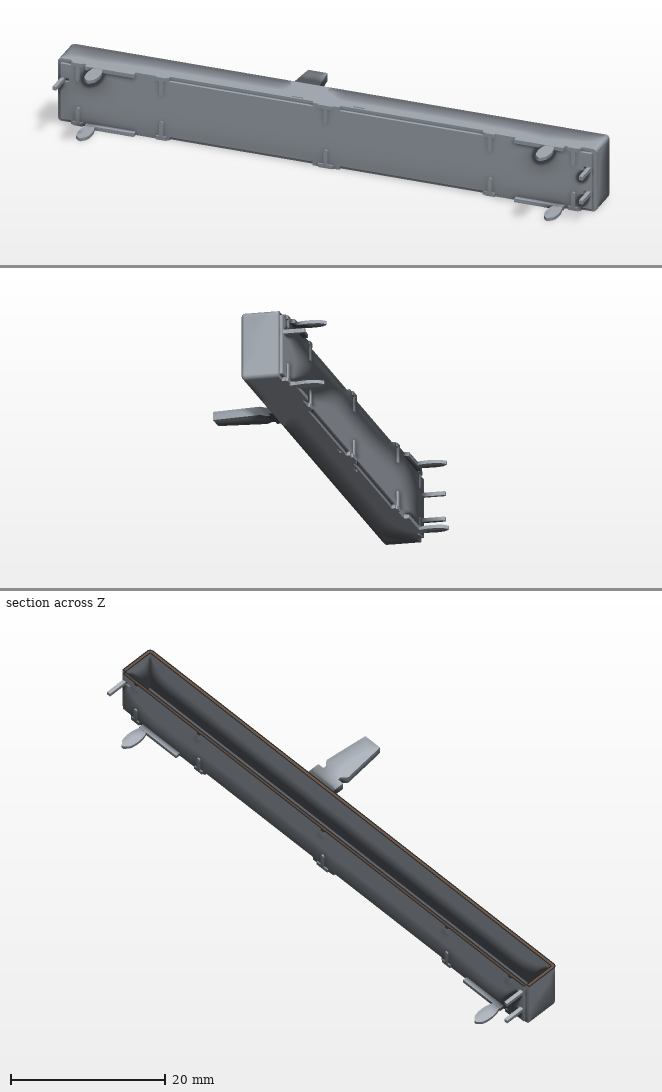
import cadquery as cq


length = 75.0
height = 9.0
sheet = 0.5
bend_radius = 0.5
end_wall_depth = 5.0
inner_length = length - 2 * sheet
inner_height = height - 2 * sheet

plate_front_depth = 5.5
tab_depth = 5.7
pad_depth = 6.15
rim_inner_end = 21.8
rim_outer_end = 35.5
rim_center_half = 1.9
pad_inner_end = 26.5
pad_outer_end = 33.3

side_tab_width = 1.4
center_tab_width = 2.0
side_crimps = (22.9, 34.5)
finger_width = 0.5
finger_tip_z = 1.9

window_x = 4.3
window_width = 1.6
window_height = 0.2
window_depth = 4.65

lug_tip_depth = 9.9
lug_root_width = 1.2
lug_width = 1.9
lug_shoulder_width = 1.4
lug_thickness = 0.45
lug_tip_width = 0.3
lug_widest_depth = 7.95
lug_shoulder_depth = 9.3
upper_lug_x = 31.4
lower_lug_x = 32.55

pin_width = 0.5
pin_height = 0.5
pin_tip_depth = 8.4
pin_z = 1.7
slot_length = 1.1
slot_edge_gap = 0.1
slot_outer_end = inner_length / 2 - slot_edge_gap
pin_places = ((-1, pin_z), (1, pin_z), (1, -pin_z))

lever_x = -7.6
lever_thickness = 1.1
lever_base_width = 4.6
lever_neck_width = 2.7
lever_barb_width = 4.05
lever_tip_width = 2.7
lever_shoulder_y = 3.4
lever_neck_y = 3.8
lever_barb_y = 4.6
lever_tip_y = 11.0


def block(x_min, x_max, depth_min, depth_max, z_min, z_max):
    """Box given by its limits, with depth counted toward -Y."""
    size = (x_max - x_min, depth_max - depth_min, z_max - z_min)
    return cq.Workplane("XY").box(*size, centered=False).translate((x_min, -depth_max, z_min))


def end_span(end, inner, outer):
    """X limits of a span at the right (end = 1) or left (end = -1), lower limit first."""
    return sorted((end * inner, end * outer))


def wall_strip(side, x_min, x_max, depth_min, depth_max):
    """Piece of the top (side = 1) or bottom (side = -1) wall."""
    outer, inner = side * height / 2, side * inner_height / 2
    return block(x_min, x_max, depth_min, depth_max, min(outer, inner), max(outer, inner))


def make_shell():
    """Five-sided box with rounded folds and a sharp-cornered cavity."""
    shell = block(-length / 2, length / 2, 0, end_wall_depth, -height / 2, height / 2)
    shell = shell.edges("|Y or >Y").fillet(bend_radius)
    cavity = block(-inner_length / 2, inner_length / 2, sheet, end_wall_depth,
                   -inner_height / 2, inner_height / 2)
    return shell.cut(cavity)


def make_crimp(side, x, tab_width):
    """Tab on the wall rim plus the round-tipped finger lying on the cover plate."""
    tab = wall_strip(side, x - tab_width / 2, x + tab_width / 2, end_wall_depth, tab_depth)
    half = finger_width / 2
    tip_z = side * finger_tip_z
    finger = (
        cq.Workplane("XZ", origin=(0, -plate_front_depth, 0))
        .moveTo(x - half, side * height / 2)
        .lineTo(x - half, tip_z + side * half)
        .threePointArc((x, tip_z), (x + half, tip_z + side * half))
        .lineTo(x + half, side * height / 2)
        .close()
        .extrude(tab_depth - plate_front_depth)
    )
    return tab.union(finger)


def make_lug(side, x):
    """Leaf-shaped lug, slightly thinner than the wall and centered in it."""
    middle_z = side * (height - sheet) / 2
    root, widest = lug_root_width / 2, lug_width / 2
    shoulder, tip = lug_shoulder_width / 2, lug_tip_width / 2
    return (
        cq.Workplane("XY", origin=(x, 0, middle_z - lug_thickness / 2))
        .moveTo(root, -pad_depth)
        .threePointArc((widest, -lug_widest_depth), (shoulder, -lug_shoulder_depth))
        .lineTo(tip, -lug_tip_depth)
        .lineTo(-tip, -lug_tip_depth)
        .lineTo(-shoulder, -lug_shoulder_depth)
        .threePointArc((-widest, -lug_widest_depth), (-root, -pad_depth))
        .close()
        .extrude(lug_thickness)
    )


def make_housing():
    """Shell with its rim, crimps, lugs and windows, and an opening for the lever."""
    housing = make_shell()
    for side, lug_x in ((1, upper_lug_x), (-1, lower_lug_x)):
        housing = housing.union(
            wall_strip(side, -rim_center_half, rim_center_half, end_wall_depth, plate_front_depth))
        housing = housing.union(make_crimp(side, 0, center_tab_width))
        for end in (-1, 1):
            rim = end_span(end, rim_inner_end, rim_outer_end)
            housing = housing.union(wall_strip(side, *rim, end_wall_depth, plate_front_depth))
            pad = end_span(end, pad_inner_end, pad_outer_end)
            housing = housing.union(wall_strip(side, *pad, end_wall_depth, pad_depth))
            housing = housing.union(make_lug(side, end * lug_x))
            for crimp_x in side_crimps:
                housing = housing.union(make_crimp(side, end * crimp_x, side_tab_width))
            window = end_span(end, window_x - window_width / 2, window_x + window_width / 2)
            housing = housing.cut(
                wall_strip(side, *window, window_depth - window_height / 2,
                           window_depth + window_height / 2))
    return housing.cut(make_lever())


def make_plate():
    """Cover plate between the walls, slotted near its ends for the terminals."""
    plate = block(-inner_length / 2, inner_length / 2, end_wall_depth, plate_front_depth,
                  -inner_height / 2, inner_height / 2)
    for end, z in pin_places:
        slot = end_span(end, slot_outer_end - slot_length, slot_outer_end)
        plate = plate.cut(block(*slot, end_wall_depth, plate_front_depth,
                                z - pin_height / 2, z + pin_height / 2))
    return plate


def make_pin(end, z):
    """Terminal filling the outer half of its slot, flush with the back of the plate."""
    span = end_span(end, slot_outer_end - pin_width, slot_outer_end)
    return block(*span, end_wall_depth, pin_tip_depth, z - pin_height / 2, z + pin_height / 2)


def make_lever():
    """Flat barbed lever passing through the back wall."""
    right_side = [
        (lever_base_width / 2, -sheet),
        (lever_base_width / 2, lever_shoulder_y),
        (lever_neck_width / 2, lever_shoulder_y),
        (lever_neck_width / 2, lever_neck_y),
        (lever_barb_width / 2, lever_barb_y),
        (lever_tip_width / 2, lever_tip_y),
    ]
    left_side = [(-x, y) for x, y in reversed(right_side)]
    return (
        cq.Workplane("XY", origin=(lever_x, 0, -lever_thickness / 2))
        .polyline(right_side + left_side)
        .close()
        .extrude(lever_thickness)
    )


housing = make_housing()
plate = make_plate()
lever = make_lever()
pins = [make_pin(end, z) for end, z in pin_places]

result = cq.Compound.makeCompound([
    housing.val(),
    plate.val(),
    lever.val(),
    *[pin.val() for pin in pins],
])